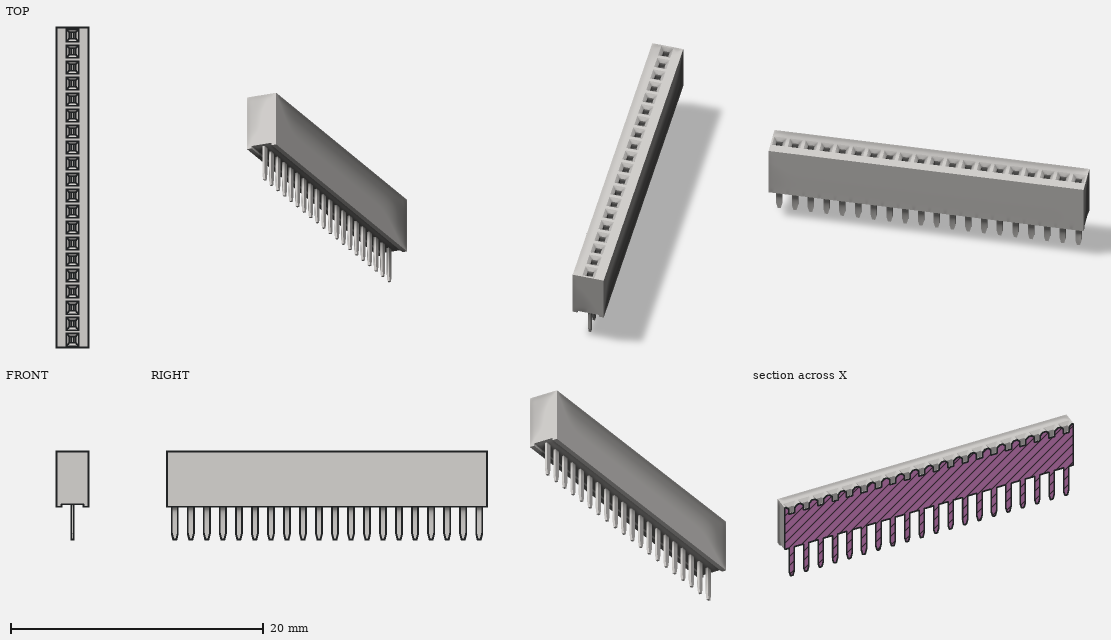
import cadquery as cq

contact_count = 20
pitch = 1.27
total_height = 7.0

housing_width = 2.54
housing_length = contact_count * pitch
housing_height = 4.4
standoff_height = 0.2
standoff_width = 0.4

funnel_mouth = 1.0
socket_size = 0.5
socket_depth = 3.5
funnel_depth = (funnel_mouth - socket_size) / 2

pin_thickness = 0.2
pin_width = socket_size
pin_tip_width = 0.25
pin_taper_length = 0.5
pin_recess = 0.5
pin_bottom = housing_height - total_height
pin_top = housing_height - funnel_depth - pin_recess


def contact_positions():
    """Centres of the contacts along the row."""
    first = -pitch * (contact_count - 1) / 2
    return [(0, first + i * pitch) for i in range(contact_count)]


def make_housing():
    """Rectangular bar with a channel under it that leaves a low standoff rail along each side."""
    bar = cq.Workplane("XY").box(
        housing_width, housing_length, housing_height, centered=(True, True, False)
    )
    channel = cq.Workplane("XY").box(
        housing_width - 2 * standoff_width,
        housing_length,
        standoff_height,
        centered=(True, True, False),
    )
    return bar.cut(channel)


def make_socket():
    """Square funnel narrowing to a deep, blind square hole."""
    funnel = (
        cq.Workplane("XY", origin=(0, 0, housing_height))
        .rect(funnel_mouth, funnel_mouth)
        .workplane(offset=-funnel_depth)
        .rect(socket_size, socket_size)
        .loft(ruled=True)
    )
    hole = (
        cq.Workplane("XY", origin=(0, 0, housing_height - funnel_depth))
        .rect(socket_size, socket_size)
        .extrude(-socket_depth)
    )
    return funnel.union(hole)


def make_pin():
    """Flat pin whose two narrow edges taper towards the lower tip."""
    taper_top = pin_bottom + pin_taper_length
    return (
        cq.Workplane("YZ")
        .moveTo(-pin_width / 2, pin_top)
        .lineTo(pin_width / 2, pin_top)
        .lineTo(pin_width / 2, taper_top)
        .lineTo(pin_tip_width / 2, pin_bottom)
        .lineTo(-pin_tip_width / 2, pin_bottom)
        .lineTo(-pin_width / 2, taper_top)
        .close()
        .extrude(pin_thickness / 2, both=True)
    )


def repeat_per_contact(shape):
    """Copies of one shape at every contact position."""
    solid = shape.val()
    return cq.Workplane("XY").pushPoints(contact_positions()).eachpoint(
        lambda location: solid.moved(location)
    )


housing = make_housing().cut(repeat_per_contact(make_socket()))
result = housing.union(repeat_per_contact(make_pin()))